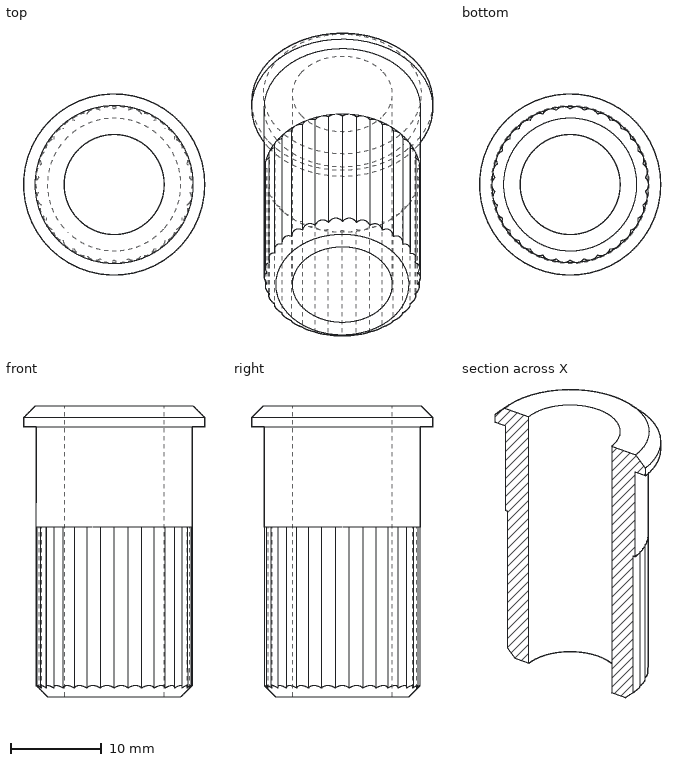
import cadquery as cq
import math

total_height = 32.1
bore_diameter = 11.0
body_diameter = 17.25
body_radius = body_diameter / 2

flange_diameter = 20.0
flange_thickness = 2.3

end_chamfer = 1.3

knurl_height = 18.78
tooth_count = 34
tooth_height = 0.3
crest_trim = 0.0015
tooth_pitch_angle = 2 * math.pi / tooth_count
first_crest_angle = math.pi


def polar_point(radius, angle):
    return (radius * math.cos(angle), radius * math.sin(angle))


def knurl_outline():
    """Closed outline of convex teeth: each is one arc from root to root over its crest."""
    half_pitch = tooth_pitch_angle / 2
    root_radius = body_radius - tooth_height
    outline = cq.Workplane("XY").moveTo(*polar_point(root_radius, first_crest_angle - half_pitch))
    for tooth in range(tooth_count):
        crest_angle = first_crest_angle + tooth * tooth_pitch_angle
        crest = polar_point(body_radius + crest_trim, crest_angle)
        next_root = polar_point(root_radius, crest_angle + half_pitch)
        outline = outline.threePointArc(crest, next_root)
    return outline.close()


def knurled_band():
    """Toothed lower body; a chamfered cylinder trims narrow crest lands and the bottom end."""
    teeth = knurl_outline().extrude(knurl_height)
    chamfered_cylinder = (
        cq.Workplane("XY").circle(body_radius).extrude(knurl_height)
        .faces("<Z").chamfer(end_chamfer)
    )
    return teeth.intersect(chamfered_cylinder)


def smooth_body():
    plain_height = total_height - knurl_height
    return cq.Workplane("XY").workplane(offset=knurl_height).circle(body_radius).extrude(plain_height)


def flange():
    return (
        cq.Workplane("XY").workplane(offset=total_height - flange_thickness)
        .circle(flange_diameter / 2).extrude(flange_thickness)
        .faces(">Z").chamfer(end_chamfer)
    )


bore = cq.Workplane("XY").circle(bore_diameter / 2).extrude(total_height)

result = knurled_band().union(smooth_body()).union(flange()).cut(bore)